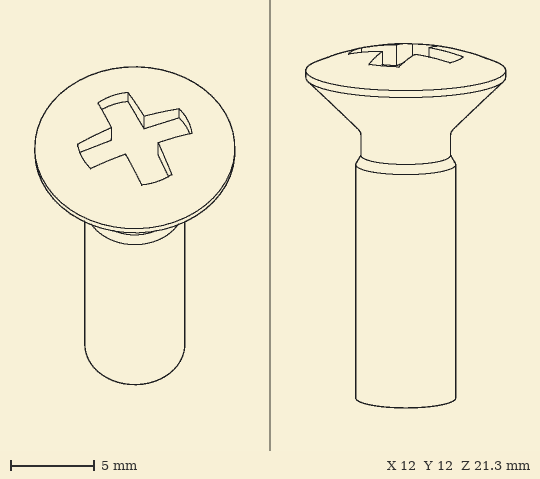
import cadquery as cq
import math

shank_radius = 3.0
neck_radius = 2.69
head_diameter = 12.0
head_radius = head_diameter / 2
shank_top = 14.28
neck_bottom = 14.84
cone_bottom = 16.33
rim_bottom = 19.61
rim_top = 20.05
dome_radius = 13.92
neck_fillet = 0.65
select_margin = 0.02

recess_radius = 3.45
arm_half_width_inner = 1.07
arm_half_width_outer = 0.98
recess_floor = rim_top

dome_centre = rim_top - math.sqrt(dome_radius**2 - head_radius**2)
dome_apex = dome_centre + dome_radius


def screw_body():
    """Revolved shank, neck, countersunk cone, rim and raised dome."""
    dome_mid_r = head_radius / 2
    dome_mid_z = dome_centre + math.sqrt(dome_radius**2 - dome_mid_r**2)
    profile = (
        cq.Workplane("XZ")
        .moveTo(0, 0)
        .lineTo(shank_radius, 0)
        .lineTo(shank_radius, shank_top)
        .lineTo(neck_radius, neck_bottom)
        .lineTo(neck_radius, cone_bottom)
        .lineTo(head_radius, rim_bottom)
        .lineTo(head_radius, rim_top)
        .threePointArc((dome_mid_r, dome_mid_z), (0, dome_apex))
        .close()
    )
    body = profile.revolve(360, (0, 0, 0), (0, 1, 0))
    cone_edge = cq.selectors.BoxSelector(
        (-head_radius, -head_radius, cone_bottom - select_margin),
        (head_radius, head_radius, cone_bottom + select_margin),
        boundingbox=True,
    )
    return body.edges(cone_edge).fillet(neck_fillet)


def recess_arm(angle):
    """One arm of the cross, from the axis outwards, narrowing towards its end."""
    end_x = math.sqrt(recess_radius**2 - arm_half_width_outer**2)
    return (
        cq.Workplane("XY", origin=(0, 0, recess_floor))
        .moveTo(0, -arm_half_width_inner)
        .lineTo(arm_half_width_inner, -arm_half_width_inner)
        .lineTo(end_x, -arm_half_width_outer)
        .threePointArc((recess_radius, 0), (end_x, arm_half_width_outer))
        .lineTo(arm_half_width_inner, arm_half_width_inner)
        .lineTo(0, arm_half_width_inner)
        .close()
        .extrude(dome_apex - recess_floor)
        .rotate((0, 0, 0), (0, 0, 1), angle)
    )


result = screw_body()
for arm_angle in (0, 90, 180, 270):
    result = result.cut(recess_arm(arm_angle))